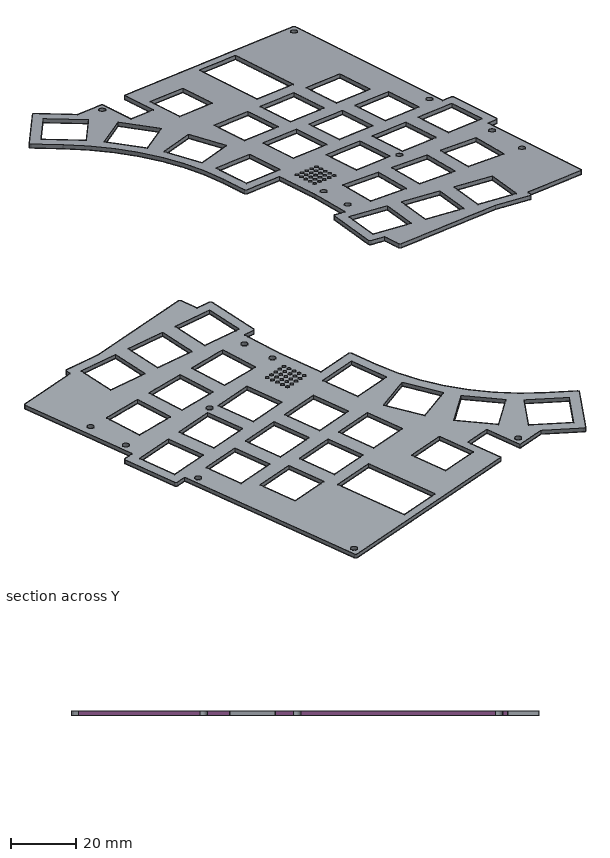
import cadquery as cq
import math

thickness = 1.5

plate_left = 9.6
plate_right = 141.6
plate_top = 114.2
plate_bottom = 38.7
inner_bottom = 42.1
slope_start_x = 98.9
corner_radius = 0.6
cell_corner_radius = 0.62

key_size = 14.0
cell_size = 20.8
rows = 3
column_span = 38.1
key_pitch = column_span / (rows - 1)

index_column = (88.1, 69.7, 0)
ring_column = (107.3, 59.2, 4)
pinky_column = (125.2, 45.3, 10)
columns = [(50.2, 57.7, 0), (69.2, 60.7, 0), index_column, ring_column, pinky_column]

fan_radius = 81.5
fan_step = 15
fan_key_count = 4
fan_x = 72.2
upright_thumb_y = 38.5
fan_y = upright_thumb_y - fan_radius
rim_arc_radius = fan_radius - cell_size / 2
fan_right = fan_x + cell_size / 2

display_center = (25.6, 80.0)
display_size = (26.5, 15.0)
encoder_center = (24.9, 53.6)
encoder_size = 13.5
notch_right = 22.9
notch_bottom = 34.6
notch_top = 43.8

screw_diameter = 2.2
screw_centers = [
    (12.4, 111.7), (74.3, 111.7), (103.1, 111.7), (118.0, 110.5),
    (96.3, 79.4), (99.0, 45.6), (110.7, 45.0), (12.4, 32.2),
]
vent_diameter = 1.2
vent_pitch = 2.0
vent_count = 5
vent_center = (89.3, 51.0)


def column_key(column, row):
    """Centre and turn of a column key; row 0 is the lowest."""
    x, y, lean = column
    angle = math.radians(lean)
    distance = row * key_pitch
    return x + distance * math.sin(angle), y + distance * math.cos(angle), -lean


def fan_point(radius, angle):
    """Point at a radius and an angle left of vertical around the fan centre."""
    turn = math.radians(angle)
    return fan_x - radius * math.sin(turn), fan_y + radius * math.cos(turn)


def thumb_key(index):
    """Centre and turn of a thumb key; index 0 is the upright one."""
    angle = index * fan_step
    x, y = fan_point(fan_radius, angle)
    return x, y, angle


def block(center, width, height):
    """Upright block of plate thickness."""
    return cq.Workplane("XY").center(*center).rect(width, height).extrude(thickness)


def square_block(placement, size):
    """Square block turned about its own centre."""
    x, y, angle = placement
    square = cq.Workplane("XY").rect(size, size).extrude(thickness)
    return square.rotate((0, 0, 0), (0, 0, 1), angle).translate((x, y, 0))


def make_body(last_thumb):
    """Plate body with the concave arc along the thumb keys."""
    last_x, last_y, last_angle = last_thumb
    pinky_x = pinky_column[0]
    slope_drop = (pinky_x - slope_start_x) * math.tan(math.radians(ring_column[2]))
    arc_top = fan_point(rim_arc_radius, 0)
    fan_corner = (fan_right, arc_top[1])
    body = (
        cq.Workplane("XY")
        .moveTo(plate_left, plate_top)
        .lineTo(plate_right, plate_top)
        .lineTo(plate_right, plate_bottom)
        .lineTo(pinky_x, plate_bottom)
        .lineTo(pinky_x, inner_bottom - slope_drop)
        .lineTo(slope_start_x, inner_bottom)
        .lineTo(fan_right, inner_bottom)
        .lineTo(*fan_corner)
        .lineTo(*arc_top)
        .threePointArc(fan_point(rim_arc_radius, last_angle / 2), fan_point(rim_arc_radius, last_angle))
        .lineTo(last_x, last_y)
        .lineTo(plate_left, last_y)
        .close()
        .extrude(thickness)
    )
    rounded_corners = [
        (plate_left, plate_top), (plate_right, plate_top), (plate_right, plate_bottom), fan_corner,
    ]
    for x, y in rounded_corners:
        nearest = cq.NearestToPointSelector((x, y, thickness / 2))
        body = body.edges("|Z").edges(nearest).fillet(corner_radius)
    return body


def make_rim_cell(placement):
    """Cell with rounded corners that carries a key past the body outline."""
    return square_block(placement, cell_size).edges("|Z").fillet(cell_corner_radius)


def holes(centers, diameter):
    """Round through-hole cutters."""
    return cq.Workplane("XY").pushPoints(centers).circle(diameter / 2).extrude(thickness)


column_keys = [column_key(column, row) for column in columns for row in range(rows)]
thumb_keys = [thumb_key(index) for index in range(fan_key_count)]

result = make_body(thumb_keys[-1])
rim_keys = [
    column_key(index_column, rows - 1),
    column_key(pinky_column, rows - 1),
    column_key(pinky_column, 0),
    thumb_keys[-1],
]
for key in rim_keys:
    result = result.union(make_rim_cell(key))

for key in column_keys + thumb_keys:
    result = result.cut(square_block(key, key_size))

result = result.cut(block(display_center, *display_size))
result = result.cut(block(encoder_center, encoder_size, encoder_size))
notch_center = ((plate_left + notch_right) / 2, (notch_bottom + notch_top) / 2)
result = result.cut(block(notch_center, notch_right - plate_left, notch_top - notch_bottom))

vent_offsets = [(index - (vent_count - 1) / 2) * vent_pitch for index in range(vent_count)]
vent_centers = [(vent_center[0] + dx, vent_center[1] + dy) for dx in vent_offsets for dy in vent_offsets]
result = result.cut(holes(screw_centers, screw_diameter))
result = result.cut(holes(vent_centers, vent_diameter))